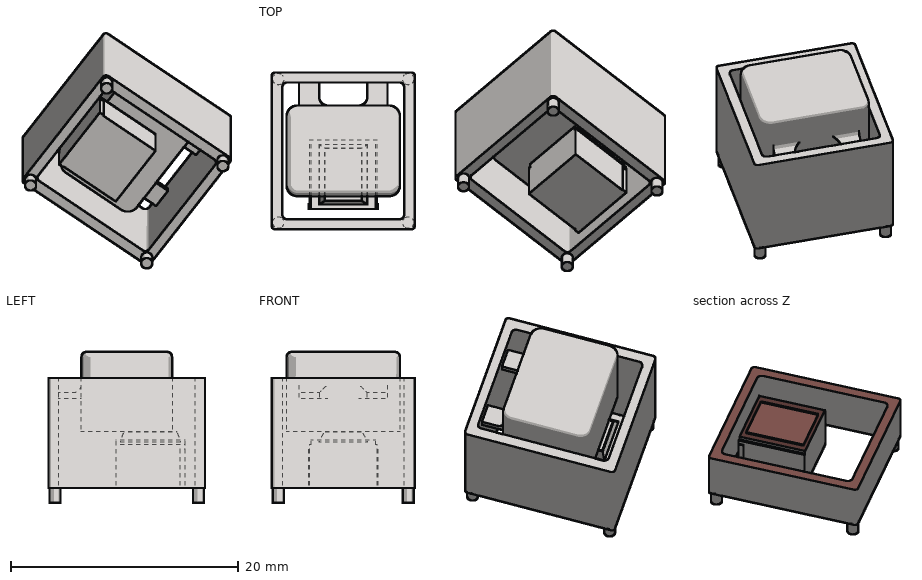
import cadquery as cq


housing_x = 12.6
housing_y = 13.8
housing_height = 9.7
wall_x = 0.95
wall_y = 0.9
outer_corner_radius = 0.3
inner_corner_radius = 0.4
cavity_x = housing_x - 2 * wall_x
cavity_y = housing_y - 2 * wall_y

pin_diameter = 1.0
pin_length = 1.3
pin_inset = 0.6

cap_x = 10.0
cap_y = 8
cap_rise = 2.3
cap_corner_radius = 1.0
cap_edge_radius = 0.5
cap_bottom = 5.0
cap_top = housing_height + cap_rise

arm_span = 7.8
arm_gap = 4.2
arm_thickness = 0.5
arm_drop = 1.3
arm_root_radius = 0.7
arm_gap_radius = 0.7
arm_top = housing_height - arm_drop
arm_bottom = arm_top - arm_thickness
arm_length = (cavity_y - cap_y) / 2

switch_size = 6.1
switch_front_y = -5.13
lip_depth = 0.44
body_x = 5.96
top_x = 5.66
ledge_drop = 0.4
switch_y = switch_front_y + switch_size / 2

seat_x = 4.28
seat_depth = 0.2
seat_clearance = 0.05
plunger_front_gap = 0.43
plunger_x = seat_x - 2 * seat_clearance
plunger_y = switch_size - 2 * plunger_front_gap
taper_x = 0.43
taper_y = 0.29
taper_height = 0.69
taper_top_x = plunger_x - 2 * taper_x
taper_top_y = plunger_y - 2 * taper_y
pad_inset = 0.05
pad_height = 0.05
pad_bottom = cap_bottom - pad_height
switch_top = pad_bottom - taper_height
seat_floor = switch_top - seat_depth


def centred_block(size_x, size_y, bottom, top, centre_y=0):
    return (
        cq.Workplane("XY", origin=(0, centre_y, bottom))
        .rect(size_x, size_y)
        .extrude(top - bottom)
    )


def make_housing():
    frame = centred_block(housing_x, housing_y, 0, housing_height)
    frame = frame.edges("|Z").fillet(outer_corner_radius)
    cavity = centred_block(cavity_x, cavity_y, 0, housing_height)
    cavity = cavity.edges("|Z").fillet(inner_corner_radius)
    pins = (
        cq.Workplane("XY")
        .rect(housing_x - 2 * pin_inset, housing_y - 2 * pin_inset, forConstruction=True)
        .vertices()
        .circle(pin_diameter / 2)
        .extrude(-pin_length)
    )
    return frame.cut(cavity).union(pins)


def make_arms():
    """Both arms as one strip with a concave blend, split by the gap between them."""
    root_y = cap_y / 2
    end_y = root_y + arm_length
    blend_top = arm_top + arm_root_radius
    strip = (
        cq.Workplane("YZ", origin=(-arm_span / 2, 0, 0))
        .moveTo(0, arm_bottom)
        .lineTo(end_y, arm_bottom)
        .lineTo(end_y, arm_top)
        .lineTo(root_y + arm_root_radius, arm_top)
        .radiusArc((root_y, blend_top), arm_root_radius)
        .lineTo(0, blend_top)
        .close()
        .extrude(arm_span)
    )
    gap = (
        centred_block(arm_gap, arm_length, arm_bottom, blend_top, root_y + arm_length / 2)
        .edges("|Z and <Y")
        .fillet(arm_gap_radius)
    )
    return strip.cut(gap)


def make_cap():
    block = centred_block(cap_x, cap_y, cap_bottom, cap_top)
    block = block.edges("|Z").fillet(cap_corner_radius)
    block = block.faces(">Z").edges().fillet(cap_edge_radius)
    return block.union(make_arms())


def make_switch():
    ledge_top = switch_top - ledge_drop
    body = centred_block(body_x, switch_size, 0, ledge_top, switch_y)
    raised_top = centred_block(top_x, switch_size, ledge_top, switch_top, switch_y)
    lip_y = switch_front_y + lip_depth / 2
    lip = centred_block(switch_size, lip_depth, 0, ledge_top - ledge_drop, lip_y)
    seat = centred_block(seat_x, plunger_y, seat_floor, switch_top, switch_y)
    return body.union(raised_top).union(lip).cut(seat)


def make_plunger():
    base = centred_block(plunger_x, plunger_y, seat_floor, switch_top, switch_y)
    taper = (
        cq.Workplane("XY", origin=(0, switch_y, switch_top))
        .rect(plunger_x, plunger_y)
        .workplane(offset=taper_height)
        .rect(taper_top_x, taper_top_y)
        .loft(ruled=True)
    )
    pad = centred_block(
        taper_top_x - 2 * pad_inset,
        taper_top_y - 2 * pad_inset,
        pad_bottom,
        cap_bottom,
        switch_y,
    )
    return base.union(taper).union(pad)


housing = make_housing()
cap = make_cap()
switch = make_switch()
plunger = make_plunger()

result = cq.Compound.makeCompound([housing.val(), cap.val(), switch.val(), plunger.val()])